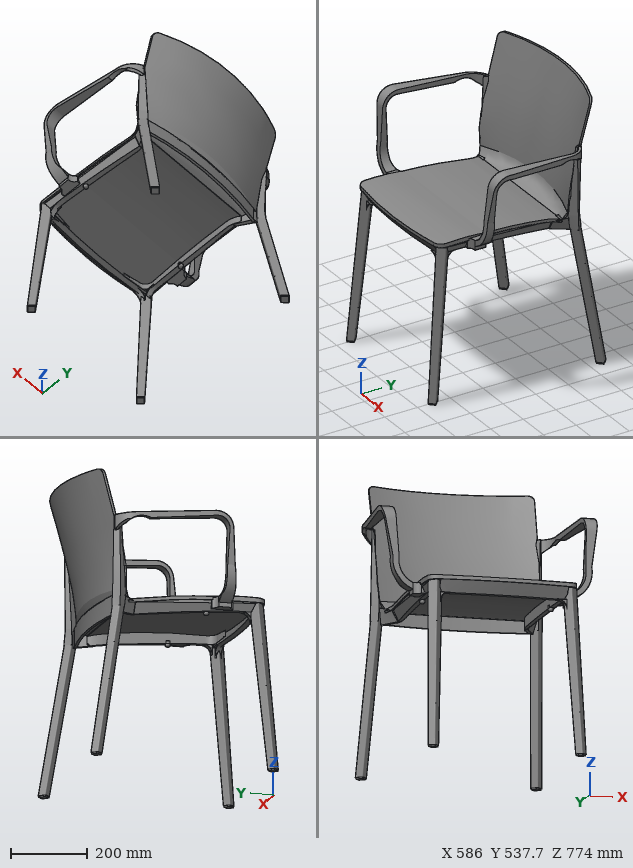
import cadquery as cq
import math


shell_thickness = 7.0
chair_height = 774.0
back_corner_radius = 15.5
back_top_half_width = 227.0
back_low_half_width = 221.0
back_levels = [
    (232.0, 209.0, 261.5, 774.0),
    (232.0, 182.0, 232.0, 678.0),
    (232.0, 162.0, 211.0, 599.5),
    (224.0, 150.0, 194.0, 522.0),
]
bend_half_width = 217.0
bend_edge_y, bend_edge_z = 148.0, 456.5
bend_middle_y, bend_middle_z = 186.0, 466.0
hollow_half_width = 209.0
hollow_edge_y, hollow_edge_z = 141.5, 442.0
hollow_middle_y, hollow_middle_z = 170.0, 445.0

seat_back_y, seat_back_z = 137.0, 434.0
seat_back_half_width = 206.0
seat_waist_y, seat_waist_half_width = 97.5, 195.0
seat_middle_y, seat_middle_z = 23.0, 450.0
seat_break_y, seat_break_z = -93.5, 458.0
seat_crown_y, seat_crown_z = -174.0, 463.0
seat_front_y = -251.5
seat_front_z = 459.0
seat_thickness = 9.0
seat_half_width = 203.0
seat_corner_y = -212.0
seat_corner_x = 176.5
seat_corner_front_y = -238.0
seat_corner_cut = 8.0
seat_waist_bulge = 3.0
seat_waist_bulge_y = 119.0

rail_inset = 4.0
rail_thickness = 25.0
rail_sink = 4.0
rail_back_y, rail_front_y = 138.5, -217.0
rail_bottom_back_z = 398.0
rail_bottom_front_z = 425.5
rail_level_y = -155.0
rail_bow_y, rail_bow_z = -15.5, 415.0
rail_top_half_width, rail_top_z = 202.0, 453.0
rail_low_half_width, rail_low_z = 173.0, 394.5
turn_y = 116.0
turn_corners = [(169.5, 399.0), (178.0, 399.0), (195.0, 429.0), (169.5, 429.0)]
turn_end_y = 166.0
turn_end_corners = [(195.0, 398.0), (208.0, 398.0), (226.0, 443.0), (195.0, 443.0)]

apron_half_width = 175.0
apron_thickness = 17.0
apron_top_z, apron_top_y, apron_top_edge_y = 452.0, -249.0, -237.0
apron_low_z, apron_low_y, apron_low_edge_y = 418.0, -227.5, -218.0
crossbar_half_width = 201.0
crossbar_edge_y, crossbar_middle_y = 158.0, 179.5
crossbar_top_z = 449.0

front_foot = (202.0, -254.5, 15.5)
front_head = (184.0, -214.0, 20.0)
front_head_z = 449.0
rear_foot = (240.0, 236.0, 16.0)
rear_knee = (219.0, 171.0, 17.0)
knee_z = 406.0
stile_low_z, stile_top_z = 449.0, 650.0
stile_low = [(235.0, 169.5), (216.0, 185.0), (201.0, 172.0), (218.0, 148.5)]
stile_top = [(231.0, 169.5), (226.0, 184.0), (221.0, 176.5), (228.0, 165.5)]
leg_edge_radius = 2.0
gusset_size = 26.0
gusset_thickness = 17.0
apron_gusset_x, apron_gusset_y = 173.0, -209.0
rail_gusset_x, rail_gusset_y = 170.0, -201.0

glide_height = 4.0
glide_inset = 2.0

arm_end_x = 219.0
arm_inner_x, arm_outer_x = 260.0, 293.0
arm_joint_y = -68.0
arm_front_y = -137.0
arm_low_z, arm_top_z = 425.0, 665.0
arm_root_y, arm_root_low_z, arm_root_top_z = 189.5, 609.0, 650.0
arm_end_low_z, arm_end_top_z = 438.0, 455.0
arm_rear_x, arm_rear_front_y, arm_rear_back_y = 227.5, 174.0, 182.5
arm_far_x = 309.5

boss_root_x, boss_flare_x = 175.0, 199.0
boss_back_y, boss_front_y = -90.0, -147.0
boss_bottom_z, boss_top_z = 426.0, arm_end_top_z

cap_diameter = 14.0
cap_x, cap_y = 176.0, -81.0
cap_bottom_z = 411.5
cap_height = 15.5
cap_edge_radius = 5.0


def band(half_width, edge, middle, offset):
    """Closed wire between an arc across the chair and its copy moved by the offset (y, z)."""
    ends = [cq.Vector(side * half_width, *edge) for side in (-1, 1)]
    mid = cq.Vector(0, *middle)
    step = cq.Vector(0, *offset)
    if edge == middle:
        inner = cq.Edge.makeLine(ends[0], ends[1])
        outer = cq.Edge.makeLine(ends[1] + step, ends[0] + step)
    else:
        inner = cq.Edge.makeThreePointArc(ends[0], mid, ends[1])
        outer = cq.Edge.makeThreePointArc(ends[1] + step, mid + step, ends[0] + step)
    right = cq.Edge.makeLine(ends[1], ends[1] + step)
    left = cq.Edge.makeLine(ends[0] + step, ends[0])
    return cq.Wire.assembleEdges([inner, right, outer, left])


def section_at_y(corners, y):
    """Polygon with (x, z) corners in the plane at y."""
    return cq.Wire.makePolygon([cq.Vector(x, y, z) for x, z in corners], close=True)


def section_at_z(corners, z):
    """Polygon with (x, y) corners in the plane at z."""
    return cq.Wire.makePolygon([cq.Vector(x, y, z) for x, y in corners], close=True)


def loft(wires):
    """Solid with straight sides from wire to wire."""
    return cq.Workplane(cq.Solid.makeLoft(wires, True))


def both_sides(part):
    """The part and its mirror image across the middle of the chair."""
    return [part, part.mirror("YZ")]


def backrest():
    rise = math.atan2(bend_middle_z - bend_edge_z, bend_middle_y - bend_edge_y)
    tilted = (shell_thickness * math.cos(rise), shell_thickness * math.sin(rise))
    diagonal = shell_thickness * math.sqrt(0.5)
    bend_start = band(bend_half_width, (bend_edge_y, bend_edge_z), (bend_middle_y, bend_middle_z), tilted)
    hollow = band(
        hollow_half_width,
        (hollow_edge_y, hollow_edge_z),
        (hollow_middle_y, hollow_middle_z),
        (diagonal, -diagonal),
    )
    seat_joint = (seat_back_y, seat_back_z)
    bend_end = band(seat_back_half_width, seat_joint, seat_joint, (0, -shell_thickness))

    sections = [
        band(half_width, (edge_y, z), (middle_y, z), (shell_thickness, 0))
        for half_width, edge_y, middle_y, z in back_levels
    ]
    panel = cq.Workplane(cq.Solid.makeLoft(sections + [bend_start]))
    outline = (
        cq.Workplane("XZ")
        .moveTo(-back_low_half_width, bend_edge_z - 8)
        .lineTo(back_low_half_width, bend_edge_z - 8)
        .lineTo(back_top_half_width, chair_height)
        .lineTo(-back_top_half_width, chair_height)
        .close()
        .extrude(-chair_height)
        .edges("|Y and >Z")
        .fillet(back_corner_radius)
    )
    bend = cq.Workplane(cq.Solid.makeLoft([bend_start, hollow, bend_end]))
    return panel.intersect(outline).union(bend)


def seat_plan(inset, height):
    """Seat outline moved inward and extruded up from the floor."""
    right = seat_half_width - inset
    waist = seat_waist_half_width - inset
    back = seat_back_half_width - inset
    front = seat_front_y + inset
    corner_y = seat_corner_front_y + inset
    corner_x = seat_corner_x - inset
    side_end_y = seat_corner_y + inset
    corner_mid_x = right - seat_corner_cut
    corner_mid_y = corner_y + seat_corner_cut
    return (
        cq.Workplane("XY")
        .moveTo(-back, seat_back_y)
        .threePointArc((-waist - seat_waist_bulge, seat_waist_bulge_y), (-waist, seat_waist_y))
        .lineTo(-right, side_end_y)
        .threePointArc((-corner_mid_x, corner_mid_y), (-corner_x, corner_y))
        .threePointArc((0, front), (corner_x, corner_y))
        .threePointArc((corner_mid_x, corner_mid_y), (right, side_end_y))
        .lineTo(waist, seat_waist_y)
        .threePointArc((waist + seat_waist_bulge, seat_waist_bulge_y), (back, seat_back_y))
        .close()
        .extrude(height)
    )


def seat():
    profile = (
        cq.Workplane("YZ")
        .workplane(offset=-arm_far_x)
        .moveTo(seat_back_y, seat_back_z)
        .threePointArc((seat_middle_y, seat_middle_z), (seat_break_y, seat_break_z))
        .threePointArc((seat_crown_y, seat_crown_z), (seat_front_y, seat_front_z))
        .lineTo(seat_front_y, seat_front_z - seat_thickness)
        .lineTo(seat_break_y, seat_break_z - seat_thickness)
        .threePointArc(
            (seat_middle_y, seat_middle_z - seat_thickness),
            (seat_back_y, seat_back_z - seat_thickness),
        )
        .close()
        .extrude(2 * arm_far_x)
    )
    return profile.intersect(seat_plan(0, chair_height))


def side_rails():
    """Two rails that follow the seat sides; their outer faces lean inward toward the bottom."""
    ring = seat_plan(rail_inset, chair_height).cut(seat_plan(rail_inset + rail_thickness, chair_height))
    profile = (
        cq.Workplane("YZ")
        .workplane(offset=-arm_far_x)
        .moveTo(rail_back_y, seat_back_z - rail_sink)
        .threePointArc((seat_middle_y, seat_middle_z - rail_sink), (seat_break_y, seat_break_z - rail_sink))
        .lineTo(rail_front_y, seat_break_z - rail_sink)
        .lineTo(rail_front_y, rail_bottom_front_z)
        .lineTo(rail_level_y, rail_bottom_front_z)
        .threePointArc((rail_bow_y, rail_bow_z), (rail_back_y, rail_bottom_back_z))
        .close()
        .extrude(2 * arm_far_x)
    )
    half_outline = [
        (0, rail_low_z),
        (rail_low_half_width, rail_low_z),
        (rail_top_half_width, rail_top_z),
        (rail_top_half_width, chair_height),
        (0, chair_height),
    ]
    leaning_sides = cq.Workplane("XZ").polyline(half_outline).mirrorY().extrude(chair_height, both=True)
    return ring.intersect(leaning_sides).intersect(profile)


def apron():
    """Bowed front wall between the front legs, sloping back toward its bottom."""
    inward = (apron_thickness, 0)
    top = band(apron_half_width, (apron_top_edge_y, apron_top_z), (apron_top_y, apron_top_z), inward)
    low = band(apron_half_width, (apron_low_edge_y, apron_low_z), (apron_low_y, apron_low_z), inward)
    return loft([top, low])


def crossbar():
    """Bowed wall between the rear legs, below the bend of the shell."""
    edge = (crossbar_edge_y, rail_bottom_back_z)
    middle = (crossbar_middle_y, rail_bottom_back_z)
    outline = band(crossbar_half_width, edge, middle, (shell_thickness, 0))
    height = crossbar_top_z - rail_bottom_back_z
    return cq.Workplane(cq.Solid.extrudeLinear(outline, [], cq.Vector(0, 0, height)))


def rail_end():
    """Rear end of a side rail, turning outward into the rear leg."""
    return loft([section_at_y(turn_corners, turn_y), section_at_y(turn_end_corners, turn_end_y)])


def diamond(section, z, inset=0):
    x, y, half_diagonal = section
    reach = half_diagonal - inset
    return section_at_z([(x + reach, y), (x, y + reach), (x - reach, y), (x, y - reach)], z)


def rounded_leg(low_wire, high_wire):
    return loft([low_wire, high_wire]).edges("not(<Z or >Z)").fillet(leg_edge_radius)


def front_leg():
    return rounded_leg(diamond(front_foot, glide_height), diamond(front_head, front_head_z))


def rear_leg():
    """Rear leg that goes on as a tapering stile along the backrest."""
    knee = diamond(rear_knee, knee_z)
    stile = loft([knee, section_at_z(stile_low, stile_low_z), section_at_z(stile_top, stile_top_z)])
    return rounded_leg(diamond(rear_foot, glide_height), knee).union(stile)


def arm_boss():
    """Block on the side rail, flared at its root, that the arm butts against."""
    height = boss_top_z - boss_bottom_z
    return (
        cq.Workplane("XY")
        .workplane(offset=boss_bottom_z)
        .moveTo(boss_root_x, boss_back_y)
        .lineTo(boss_flare_x, boss_back_y)
        .threePointArc((205.0, -98.0), (arm_end_x, -103.0))
        .lineTo(arm_end_x, -136.0)
        .threePointArc((206.5, -138.5), (boss_flare_x, boss_front_y))
        .lineTo(boss_root_x, boss_front_y)
        .close()
        .extrude(height)
    )


def gusset(plane, corner, along, start):
    """Concave fillet in the corner under a rail."""
    u, v = corner
    bulge = gusset_size * (1 - math.sqrt(0.5))
    return (
        cq.Workplane(plane)
        .workplane(offset=start)
        .moveTo(u, v)
        .lineTo(u + along * gusset_size, v)
        .threePointArc((u + along * bulge, v - bulge), (u, v - gusset_size))
        .close()
        .extrude(gusset_thickness)
    )


def arm():
    """Band with one side outline; its top part follows a plan outline, its upright a front one."""
    side = (
        cq.Workplane("YZ")
        .moveTo(arm_root_y, arm_root_top_z)
        .lineTo(170.0, arm_root_top_z)
        .lineTo(arm_joint_y, 664.0)
        .threePointArc((-108.0, 651.5), (-123.0, 619.0))
        .lineTo(arm_front_y, 464.0)
        .lineTo(arm_front_y, arm_low_z)
        .lineTo(-102.0, arm_low_z)
        .lineTo(-102.0, 452.5)
        .threePointArc((-108.0, 464.0), (-110.0, 480.0))
        .lineTo(-112.0, 619.0)
        .threePointArc((-103.0, 641.0), (-79.0, 651.5))
        .lineTo(97.0, 637.5)
        .threePointArc((155.0, 628.0), (167.0, arm_root_low_z))
        .lineTo(arm_root_y, arm_root_low_z)
        .close()
        .extrude(arm_far_x)
    )
    upright = (
        cq.Workplane("XZ")
        .workplane(offset=-arm_joint_y)
        .moveTo(arm_end_x, arm_end_low_z)
        .threePointArc((255.0, 464.0), (272.0, 526.0))
        .lineTo(arm_outer_x, 650.0)
        .lineTo(arm_outer_x, arm_top_z)
        .lineTo(arm_inner_x, arm_top_z)
        .lineTo(arm_inner_x, 619.0)
        .lineTo(255.0, 522.0)
        .threePointArc((247.0, 479.0), (arm_end_x, arm_end_top_z))
        .close()
        .extrude(arm_far_x)
    )
    top = (
        cq.Workplane("XY")
        .moveTo(arm_inner_x, arm_joint_y)
        .lineTo(arm_outer_x, arm_joint_y)
        .lineTo(270.0, 124.0)
        .threePointArc((259.0, 158.0), (arm_rear_x, arm_rear_back_y))
        .lineTo(arm_rear_x, arm_rear_front_y)
        .threePointArc((250.0, 156.0), (258.0, 124.0))
        .close()
        .extrude(chair_height)
    )
    root_taper = (
        cq.Workplane("XZ")
        .polyline([(209.0, 596.0), (260.0, 634.0), (309.5, 634.0), (309.5, 696.0), (209.0, 696.0)])
        .close()
        .extrude(arm_far_x, both=True)
    )
    return side.intersect(upright).union(side.intersect(top).intersect(root_taper))


def glide(section):
    return loft([diamond(section, z, glide_inset) for z in (0, glide_height)])


def cap():
    return (
        cq.Workplane("XY")
        .workplane(offset=cap_bottom_z)
        .center(cap_x, cap_y)
        .circle(cap_diameter / 2)
        .extrude(cap_height)
        .faces("<Z")
        .edges()
        .fillet(cap_edge_radius)
    )


def chair_body():
    body = backrest().union(seat()).union(side_rails()).union(apron()).union(crossbar())
    apron_gusset = gusset("XZ", (apron_gusset_x, apron_low_z), -1, -apron_gusset_y)
    rail_gusset = gusset("YZ", (rail_gusset_y, rail_bottom_front_z), 1, rail_gusset_x)
    for part in (front_leg(), rear_leg(), rail_end(), arm_boss(), apron_gusset, rail_gusset):
        for copy in both_sides(part):
            body = body.union(copy)
    return body


chair = chair_body()
arms = [part.cut(chair) for part in both_sides(arm())]
caps = [part.cut(chair) for part in both_sides(cap())]
glides = [copy for foot in (front_foot, rear_foot) for copy in both_sides(glide(foot))]

bodies = [chair] + arms + caps + glides
result = cq.Compound.makeCompound([solid for body in bodies for solid in body.vals()])